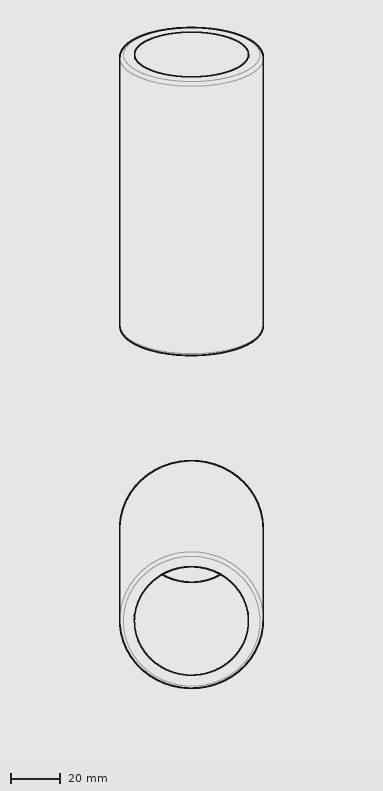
import cadquery as cq

length = 120.0
outer_diameter = 58.0
bore_diameter = 46.0
edge_radius = 1.5

body = cq.Workplane("XY").cylinder(length, outer_diameter / 2)
body = body.faces("<Z or >Z").edges().fillet(edge_radius)

result = body.faces(">Z").workplane().hole(bore_diameter)